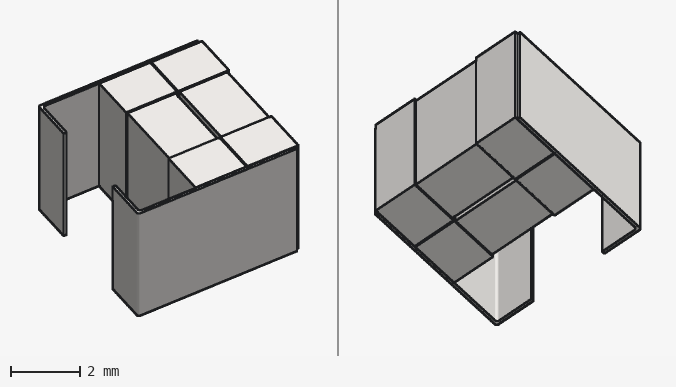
import cadquery as cq

overall_width = 5.5
overall_depth = 5.5
overall_height = 4.0

strip_thickness = 0.1
strip_end_inset = 0.01
back_inset = 0.1
foot_length = 1.4
outer_bend_radius = 0.07
inner_bend_radius = 0.08

chip_count = 2
chip_stack_depth = 3.49
chip_gap = 0.035
terminal_length = 1.485
ceramic_inset = 0.05

back_y = overall_depth / 2
front_y = -overall_depth / 2
left_x = -overall_width / 2
strip_height = overall_height - 2 * strip_end_inset
chip_length = overall_width - 2 * strip_thickness
chip_depth = (chip_stack_depth - (chip_count - 1) * chip_gap) / chip_count
chip_pitch = chip_depth + chip_gap
ceramic_length = chip_length - 2 * terminal_length


def make_left_lead_frame():
    """L-shaped strip: a side wall along Y and a foot turned inwards at the front."""
    inner_x = left_x + strip_thickness
    inner_y = front_y + strip_thickness
    foot_tip_x = left_x + foot_length
    strip_back_y = back_y - back_inset
    outline = [
        (left_x, front_y),
        (foot_tip_x, front_y),
        (foot_tip_x, inner_y),
        (inner_x, inner_y),
        (inner_x, strip_back_y),
        (left_x, strip_back_y),
    ]
    strip = (
        cq.Workplane("XY")
        .workplane(offset=-strip_height / 2)
        .polyline(outline)
        .close()
        .extrude(strip_height)
    )
    outer_bend = cq.selectors.NearestToPointSelector((left_x, front_y, 0))
    inner_bend = cq.selectors.NearestToPointSelector((inner_x, inner_y, 0))
    strip = strip.edges("|Z").edges(inner_bend).fillet(inner_bend_radius)
    return strip.edges("|Z").edges(outer_bend).fillet(outer_bend_radius)


def make_chip(center_y):
    """One chip: a block cut back around its middle, which leaves a terminal at each end."""
    block = cq.Workplane("XY").box(chip_length, chip_depth, overall_height)
    middle = cq.Workplane("XY").box(ceramic_length, chip_depth, overall_height)
    ceramic = cq.Workplane("XY").box(
        ceramic_length,
        chip_depth - 2 * ceramic_inset,
        overall_height - 2 * ceramic_inset,
    )
    return block.cut(middle.cut(ceramic)).translate((0, center_y, 0))


left_lead_frame = make_left_lead_frame()
right_lead_frame = left_lead_frame.mirror("YZ")
lead_frames = [left_lead_frame, right_lead_frame]

chips = []
for index in range(chip_count):
    chip_y = back_y - chip_depth / 2 - index * chip_pitch
    chips.append(make_chip(chip_y))

result = cq.Compound.makeCompound([body.solids().val() for body in lead_frames + chips])